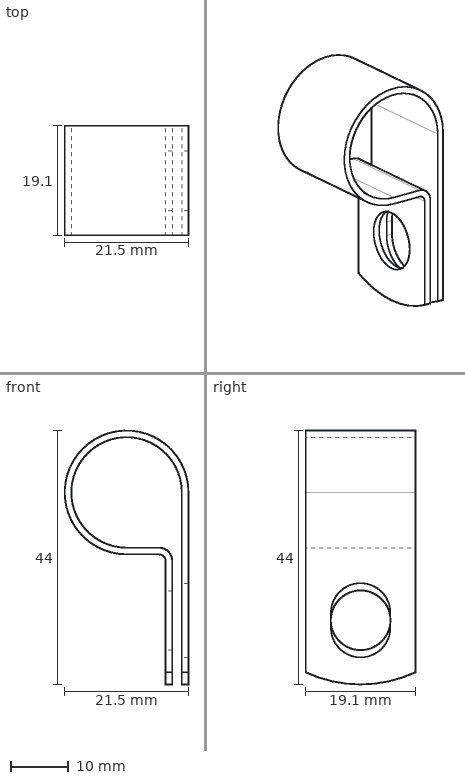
import cadquery as cq
import math

width = 19.05
thickness = 1.2
loop_outer_radius = 10.75
loop_inner_radius = loop_outer_radius - thickness
total_height = 44.05
loop_center_z = total_height - loop_outer_radius

leg_gap = 1.65
bent_leg_right = loop_inner_radius - leg_gap
bent_leg_left = bent_leg_right - thickness
bend_inner_radius = 1.15
bend_outer_radius = bend_inner_radius + thickness
bend_center_x = bent_leg_left - bend_inner_radius
bend_center_z = loop_center_z - loop_outer_radius - bend_inner_radius

end_sagitta = 2.1
hole_diameter = 10.3
slot_length = 12.85
hole_z = 11.15


def arc_point(center_x, center_z, radius, degrees):
    angle = math.radians(degrees)
    return (center_x + radius * math.cos(angle), center_z + radius * math.sin(angle))


def make_strap():
    """Bent strip of constant thickness, extruded symmetrically along Y."""
    return (
        cq.Workplane("XZ")
        .moveTo(loop_outer_radius, 0)
        .lineTo(loop_outer_radius, loop_center_z)
        .threePointArc(
            arc_point(0, loop_center_z, loop_outer_radius, 135),
            (0, loop_center_z - loop_outer_radius),
        )
        .lineTo(bend_center_x, loop_center_z - loop_outer_radius)
        .threePointArc(
            arc_point(bend_center_x, bend_center_z, bend_inner_radius, 45),
            (bent_leg_left, bend_center_z),
        )
        .lineTo(bent_leg_left, 0)
        .lineTo(bent_leg_right, 0)
        .lineTo(bent_leg_right, bend_center_z)
        .threePointArc(
            arc_point(bend_center_x, bend_center_z, bend_outer_radius, 45),
            (bend_center_x, loop_center_z - loop_inner_radius),
        )
        .lineTo(0, loop_center_z - loop_inner_radius)
        .threePointArc(
            arc_point(0, loop_center_z, loop_inner_radius, 135),
            (loop_inner_radius, loop_center_z),
        )
        .lineTo(loop_inner_radius, 0)
        .close()
        .extrude(width / 2, both=True)
    )


def make_side_outline():
    """Side silhouette with the rounded lower end, spanning the whole strap in X."""
    return (
        cq.Workplane("YZ")
        .moveTo(-width / 2, total_height)
        .lineTo(-width / 2, end_sagitta)
        .threePointArc((0, 0), (width / 2, end_sagitta))
        .lineTo(width / 2, total_height)
        .close()
        .extrude(loop_outer_radius, both=True)
    )


def make_bolt_hole():
    """Cylinder along X through the bent leg, ending in the gap between the legs."""
    return (
        cq.Workplane("YZ")
        .center(0, hole_z)
        .circle(hole_diameter / 2)
        .extrude(bent_leg_right + leg_gap / 2)
    )


def make_bolt_slot():
    """Slot along Z through the straight leg, as wide as the round hole."""
    return (
        cq.Workplane("YZ", origin=(bent_leg_right + leg_gap / 2, 0, hole_z))
        .slot2D(slot_length, hole_diameter, angle=90)
        .extrude(leg_gap / 2 + thickness)
    )


strap = make_strap().intersect(make_side_outline())
result = strap.cut(make_bolt_hole()).cut(make_bolt_slot())